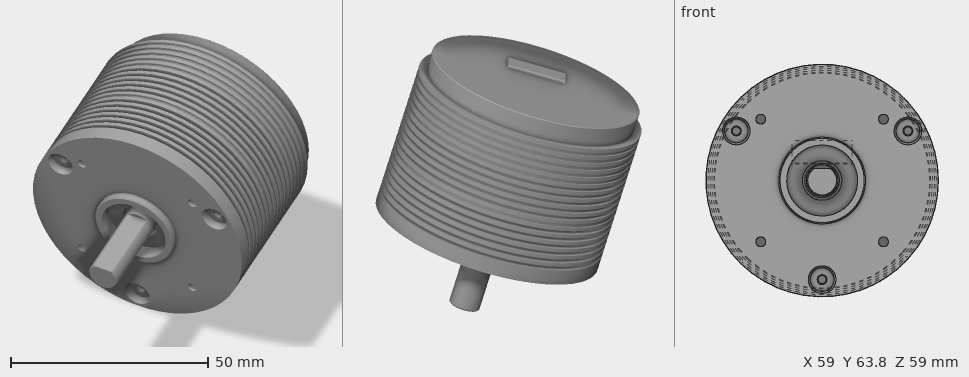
import cadquery as cq
import math

shaft_protrusion = 18.0
pilot_height = 2.0
plate_thickness = 4.0
fin_stack_length = 34.0
cap_length = 5.0
connector_height = 0.8

body_diameter = 59.0
cap_diameter = 55.0
cap_edge_chamfer = 0.2
groove_groups = [(5, 58.0), (5, 57.1), (1, 58.0), (6, 56.0)]

pilot_diameter = 22.0
pilot_edge_chamfer = 0.3
recess_diameter = 18.0
recess_depth = 3.8
clearance_diameter = 10.0
clearance_depth = 2.0
shaft_bore_diameter = 8.75
shaft_bore_depth = 1.0

shaft_diameter = 8.0
shaft_tip_chamfer = 0.3
flat_height = 3.0
flat_length = 20.0

mount_hole_count = 4
mount_first_angle = 45
mount_hole_diameter = 2.5
mount_hole_depth = plate_thickness
mount_circle_diameter = 44.0

screw_count = 3
screw_first_angle = -90
screw_circle_diameter = 50.3
screw_mouth_diameter = 7.0
screw_floor_diameter = 6.0
screw_taper_depth = 1.6
screw_floor_depth = 2.05
socket_diameter = 2.5
socket_depth = 1.0
socket_edge = 0.2

connector_width = 15.2
connector_bottom = 4.2
connector_top = 10.15
connector_edge_chamfer = 0.2

rear_face = plate_thickness + fin_stack_length + cap_length
pilot_face = -pilot_height
recess_floor = pilot_face + recess_depth
clearance_floor = recess_floor + clearance_depth
shaft_bore_floor = clearance_floor + shaft_bore_depth
shaft_tip = pilot_face - shaft_protrusion


def cylinder(diameter, start, end, x=0, z=0):
    """Solid cylinder parallel to Y, from Y = start to Y = end."""
    return cq.Workplane(cq.Solid.makeCylinder(
        diameter / 2, end - start, cq.Vector(x, start, z), cq.Vector(0, 1, 0)))


def cone(start_diameter, end_diameter, start, end, x=0, z=0):
    """Solid truncated cone parallel to Y, from Y = start to Y = end."""
    return cq.Workplane(cq.Solid.makeCone(
        start_diameter / 2, end_diameter / 2, end - start, cq.Vector(x, start, z), cq.Vector(0, 1, 0)))


def make_housing():
    """Front plate, finned middle and rear cap as one turned profile."""
    root_diameters = [root for count, root in groove_groups for _ in range(count)]
    pitch = fin_stack_length / len(root_diameters)
    fin_width = pitch / 2
    body_radius = body_diameter / 2
    cap_radius = cap_diameter / 2
    cap_front = rear_face - cap_length

    profile = cq.Workplane("XY").moveTo(0, rear_face)
    profile = profile.lineTo(cap_radius - cap_edge_chamfer, rear_face)
    profile = profile.lineTo(cap_radius, rear_face - cap_edge_chamfer)
    profile = profile.lineTo(cap_radius, cap_front)
    for index, root_diameter in enumerate(root_diameters):
        fin_rear = cap_front - index * pitch
        fin_front = fin_rear - fin_width
        profile = profile.lineTo(body_radius, fin_rear)
        profile = profile.lineTo(body_radius, fin_front)
        profile = profile.lineTo(root_diameter / 2, fin_front)
        profile = profile.lineTo(root_diameter / 2, fin_rear - pitch)
    profile = profile.lineTo(body_radius, plate_thickness)
    profile = profile.lineTo(body_radius, 0)
    profile = profile.lineTo(0, 0).close()
    return profile.revolve(360, (0, 0, 0), (0, 1, 0))


def make_pilot():
    """Centring boss on the mounting face."""
    return cylinder(pilot_diameter, pilot_face, plate_thickness).faces("<Y").chamfer(pilot_edge_chamfer)


def make_shaft():
    """Shaft from the bottom of its bore to the tip, with the flat cut along its outer part."""
    shaft = cylinder(shaft_diameter, shaft_tip, shaft_bore_floor)
    shaft = shaft.faces("<Y").chamfer(shaft_tip_chamfer)
    flat = cq.Workplane("XY").box(
        shaft_diameter, flat_length, shaft_diameter, centered=(True, False, False))
    return shaft.cut(flat.translate((0, shaft_tip, flat_height)))


def make_connector():
    """Raised rectangle on the rear face, above the axis."""
    block = cq.Workplane("XY").box(
        connector_width, connector_height, connector_top - connector_bottom, centered=(True, False, False))
    block = block.faces(">Y").edges("<Z").chamfer(connector_edge_chamfer)
    return block.translate((0, rear_face, connector_bottom))


def cut_mount_holes(body):
    """Plain holes through the thickness of the front plate."""
    for index in range(mount_hole_count):
        angle = math.radians(mount_first_angle + 360 / mount_hole_count * index)
        x = mount_circle_diameter / 2 * math.cos(angle)
        z = mount_circle_diameter / 2 * math.sin(angle)
        body = body.cut(cylinder(mount_hole_diameter, 0, mount_hole_depth, x, z))
    return body


def cut_screw_recesses(body):
    """Tapered recesses with a straight bottom, and a socket with a bevelled bottom in each floor."""
    socket_bottom = screw_floor_depth + socket_depth
    for index in range(screw_count):
        angle = math.radians(screw_first_angle + 360 / screw_count * index)
        x = screw_circle_diameter / 2 * math.cos(angle)
        z = screw_circle_diameter / 2 * math.sin(angle)
        body = body.cut(cone(screw_mouth_diameter, screw_floor_diameter, 0, screw_taper_depth, x, z))
        body = body.cut(cylinder(screw_floor_diameter, screw_taper_depth, screw_floor_depth, x, z))
        socket = cylinder(socket_diameter, screw_floor_depth, socket_bottom, x, z)
        body = body.cut(socket.faces(">Y").chamfer(socket_edge))
    return body


body = make_housing().union(make_pilot()).union(make_connector())
body = body.cut(cylinder(recess_diameter, pilot_face, recess_floor))
body = body.cut(cylinder(clearance_diameter, recess_floor, clearance_floor))
body = body.cut(cylinder(shaft_bore_diameter, clearance_floor, shaft_bore_floor))
body = body.union(make_shaft())
body = cut_mount_holes(body)
result = cut_screw_recesses(body)